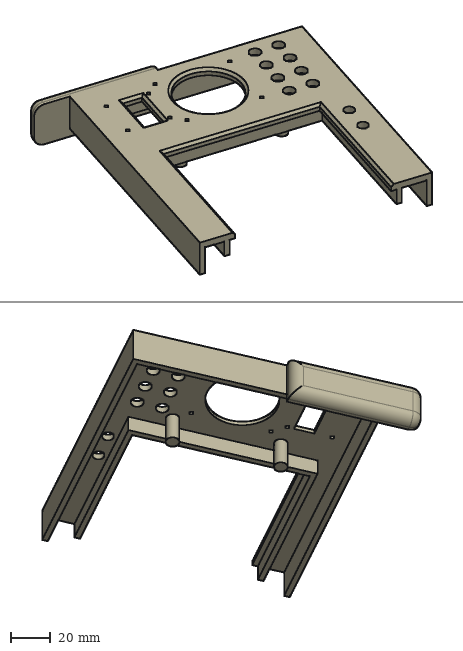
import cadquery as cq


housing_length = 142.5
housing_width = 132.0
housing_height = 20.0
plate_thickness = 4.0
wall_thickness = 3.0
opening_chamfer = 1.5
plate_underside = housing_height - plate_thickness

slot_left = 64.1
slot_bottom = 20.1
slot_top = 108.7
rib_setback = 3.0
rib_depth = 13.1

grip_thickness = 8.0
grip_height = 25.0
grip_overhang = 20.2
grip_length = 70.3
grip_radius = 6.0

screw_hole_diameter = 2.0

dial_x = 27.7
dial_y = 64.4
dial_diameter = 37.5
dial_hole_spacing_x = 35.0
dial_hole_spacing_y = 42.5

window_x = dial_x
window_y = 27.4
window_length = 23.8
window_width = 10.8
window_hole_spacing_x = 23.5
window_hole_spacing_y = 23.9
window_holes_y = 24.5

boss_x = 52.2
boss_spacing = 57.7
boss_diameter = 7.0

button_diameter = 6.5
button_columns = 4
button_rows = 2
button_pitch_x = 12.5
button_pitch_y = 13.4
button_center_x = dial_x
button_center_y = 107.3
arm_hole_diameter = 6.0
arm_hole_pitch = 14.9
arm_hole_center_x = 82.7
arm_hole_y = 119.8


def block(x_min, x_max, y_min, y_max, z_min, z_max):
    """Box between the given limits."""
    size = (x_max - x_min, y_max - y_min, z_max - z_min)
    return cq.Workplane("XY").box(*size, centered=False).translate((x_min, y_min, z_min))


def grid(center_x, center_y, pitch_x=1.5, pitch_y=1.5, columns=2, rows=2):
    """Workplane on the underside of the plate with a centred grid of points.

    A pitch has no effect along a direction that holds a single point.
    """
    return (
        cq.Workplane("XY", origin=(center_x, center_y, plate_underside))
        .rarray(pitch_x, pitch_y, columns, rows)
    )


def make_housing():
    """Tray with outer walls, and a shallower rib set back around the slot."""
    body = block(0, housing_length, 0, housing_width, 0, housing_height)
    cavity = block(
        wall_thickness, housing_length,
        wall_thickness, housing_width - wall_thickness,
        0, plate_underside,
    )
    rib_left = slot_left - rib_setback
    rib_bottom = slot_bottom - rib_setback
    rib_top = slot_top + rib_setback
    rib_block = block(
        rib_left - wall_thickness, housing_length,
        rib_bottom - wall_thickness, rib_top + wall_thickness,
        housing_height - rib_depth, plate_underside,
    )
    rib_space = block(rib_left, housing_length, rib_bottom, rib_top, 0, plate_underside)
    return body.cut(cavity).union(rib_block.cut(rib_space))


def make_grip():
    """Grip bar: rounded around its outer face and its -Y end, square at its +Y end."""
    bar = block(
        -grip_thickness, 0,
        -grip_overhang, grip_length - grip_overhang,
        housing_height - grip_height, housing_height,
    )
    return bar.edges("<X or (<Y and |X)").fillet(grip_radius)


def make_bosses():
    """Two bosses beside the slot, reaching from the plate down to the rim of the walls."""
    return (
        grid(boss_x, dial_y, pitch_y=boss_spacing, columns=1)
        .circle(boss_diameter / 2)
        .extrude(-plate_underside)
    )


def rectangular_opening(x_min, x_max, y_min, y_max):
    """Cutter for a rectangular plate opening that flares out at the top face."""
    straight = block(x_min, x_max, y_min, y_max, plate_underside, housing_height)
    flare = (
        cq.Workplane("XY", origin=((x_min + x_max) / 2, (y_min + y_max) / 2, housing_height))
        .rect(x_max - x_min + 2 * opening_chamfer, y_max - y_min + 2 * opening_chamfer)
        .workplane(offset=-opening_chamfer)
        .rect(x_max - x_min, y_max - y_min)
        .loft(ruled=True)
    )
    return straight.union(flare)


def dial_opening():
    """Cutter for the round opening that flares out at the top face."""
    radius = dial_diameter / 2
    straight = (
        cq.Workplane("XY", origin=(dial_x, dial_y, plate_underside))
        .circle(radius)
        .extrude(plate_thickness)
    )
    flare = (
        cq.Workplane("XY", origin=(dial_x, dial_y, housing_height))
        .circle(radius + opening_chamfer)
        .workplane(offset=-opening_chamfer)
        .circle(radius)
        .loft(ruled=True)
    )
    return straight.union(flare)


def holes(points, diameter):
    """Cutters through the plate at the given points."""
    return points.circle(diameter / 2).extrude(plate_thickness)


slot_opening = rectangular_opening(
    slot_left, housing_length + 2 * opening_chamfer, slot_bottom, slot_top
)
window_opening = rectangular_opening(
    window_x - window_length / 2, window_x + window_length / 2,
    window_y - window_width / 2, window_y + window_width / 2,
)
button_holes = holes(
    grid(button_center_x, button_center_y, button_pitch_x, button_pitch_y, button_columns, button_rows),
    button_diameter,
)
arm_holes = holes(
    grid(arm_hole_center_x, arm_hole_y, arm_hole_pitch, rows=1),
    arm_hole_diameter,
)
dial_holes = holes(
    grid(dial_x, dial_y, dial_hole_spacing_x, dial_hole_spacing_y),
    screw_hole_diameter,
)
window_holes = holes(
    grid(window_x, window_holes_y, window_hole_spacing_x, window_hole_spacing_y),
    screw_hole_diameter,
)

result = make_housing().union(make_grip()).union(make_bosses())
for cutter in (
    slot_opening, window_opening, dial_opening(),
    button_holes, arm_holes, dial_holes, window_holes,
):
    result = result.cut(cutter)